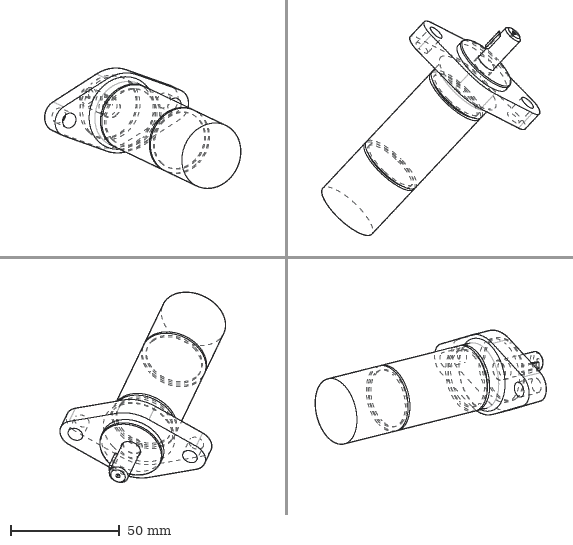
import cadquery as cq
import math

total_length = 118.7

shaft_dia = 9.0
shaft_tip_dia = 7.0
shaft_chamfer_length = 1.0
center_hole_dia = 1.0
center_hole_depth = 1.8
drill_point_angle = 120
countersink_dia = 2.0

key_dia = 10.3
key_arc_center_above_top = 1.7
key_width = 3.0
key_center_x = 9.0
key_top_y = 5.6

boss_dia = 30.0
boss_front_x = 19.8
boss_chamfer_length = 0.7
boss_chamfer_height = 0.2
shaft_bore_dia = 9.5

flange_front_x = 23.0
flange_thickness = 10.1
flange_width = 70.0
flange_height = 37.9
flange_end_radius = 7.6
bolt_hole_dia = 7.0
bolt_hole_offset = 27.5

body_dia = 31.0
neck_fillet_height = 1.7
neck_fillet_length = 2.4
groove_dia = 26.8
front_groove_x = 40.8
front_groove_width = 1.3
rear_groove_x = 87.6
rear_groove_width = 1.1

flange_back_x = flange_front_x + flange_thickness


def disc(diameter, start_x, length):
    """Cylinder on the X axis."""
    return cq.Workplane("YZ", origin=(start_x, 0, 0)).circle(diameter / 2).extrude(length)


def make_shaft():
    """Shaft with a conical tip and a center-drilled hole in its end."""
    shaft_radius = shaft_dia / 2
    tip_radius = shaft_tip_dia / 2
    drill_radius = center_hole_dia / 2
    countersink_radius = countersink_dia / 2
    drill_point_length = drill_radius / math.tan(math.radians(drill_point_angle / 2))
    countersink_depth = countersink_radius - drill_radius
    return (
        cq.Workplane("XY")
        .moveTo(center_hole_depth + drill_point_length, 0)
        .lineTo(center_hole_depth, drill_radius)
        .lineTo(countersink_depth, drill_radius)
        .lineTo(0, countersink_radius)
        .lineTo(0, tip_radius)
        .lineTo(shaft_chamfer_length, shaft_radius)
        .lineTo(flange_back_x, shaft_radius)
        .lineTo(flange_back_x, 0)
        .close()
        .revolve(360, (0, 0, 0), (1, 0, 0))
    )


def make_key():
    """Woodruff key, round side sunk into the shaft and flat side outward."""
    key_radius = key_dia / 2
    half_length = math.sqrt(key_radius**2 - key_arc_center_above_top**2)
    key_depth = key_radius - key_arc_center_above_top
    return (
        cq.Workplane("XY", origin=(key_center_x, key_top_y, 0))
        .moveTo(-half_length, 0)
        .threePointArc((0, -key_depth), (half_length, 0))
        .close()
        .extrude(key_width / 2, both=True)
    )


def make_boss():
    """Pilot boss with a shallow lead-in chamfer."""
    length = flange_back_x - boss_front_x
    boss = disc(boss_dia, boss_front_x, length)
    return boss.faces("<X").chamfer(boss_chamfer_length, boss_chamfer_height)


def make_flange():
    """Rhombic flange: a central arc and two end arcs joined by tangent lines."""
    center_radius = flange_height / 2
    half_width = flange_width / 2
    end_center_y = half_width - flange_end_radius
    slope = math.asin((center_radius - flange_end_radius) / end_center_y)
    center_y = center_radius * math.sin(slope)
    center_z = center_radius * math.cos(slope)
    end_y = end_center_y + flange_end_radius * math.sin(slope)
    end_z = flange_end_radius * math.cos(slope)
    return (
        cq.Workplane("YZ", origin=(flange_front_x, 0, 0))
        .moveTo(-center_y, center_z)
        .threePointArc((0, center_radius), (center_y, center_z))
        .lineTo(end_y, end_z)
        .threePointArc((half_width, 0), (end_y, -end_z))
        .lineTo(center_y, -center_z)
        .threePointArc((0, -center_radius), (-center_y, -center_z))
        .lineTo(-end_y, -end_z)
        .threePointArc((-half_width, 0), (-end_y, end_z))
        .close()
        .pushPoints([(-bolt_hole_offset, 0), (bolt_hole_offset, 0)])
        .circle(bolt_hole_dia / 2)
        .extrude(flange_thickness)
    )


def make_body():
    """Motor and gearbox cylinder with a concave neck fillet and two grooves."""
    body_radius = body_dia / 2
    neck_radius = body_radius + neck_fillet_height
    neck_end_x = flange_back_x + neck_fillet_length
    fillet_radius = (neck_fillet_length**2 + neck_fillet_height**2) / (2 * neck_fillet_height)
    fillet_mid_x = neck_end_x - neck_fillet_length / 2
    fillet_mid_drop = math.sqrt(fillet_radius**2 - (neck_fillet_length / 2) ** 2)
    fillet_mid_radius = body_radius + fillet_radius - fillet_mid_drop
    body = (
        cq.Workplane("XY")
        .moveTo(flange_back_x, 0)
        .lineTo(flange_back_x, neck_radius)
        .threePointArc((fillet_mid_x, fillet_mid_radius), (neck_end_x, body_radius))
        .lineTo(total_length, body_radius)
        .lineTo(total_length, 0)
        .close()
        .revolve(360, (0, 0, 0), (1, 0, 0))
    )
    for groove_x, groove_width in (
        (front_groove_x, front_groove_width),
        (rear_groove_x, rear_groove_width),
    ):
        ring = disc(body_dia, groove_x, groove_width).cut(disc(groove_dia, groove_x, groove_width))
        body = body.cut(ring)
    return body


shaft_bore = disc(shaft_bore_dia, boss_front_x, flange_front_x - boss_front_x)
housing = make_flange().union(make_boss()).union(make_body()).cut(shaft_bore)

result = housing.union(make_shaft()).union(make_key())